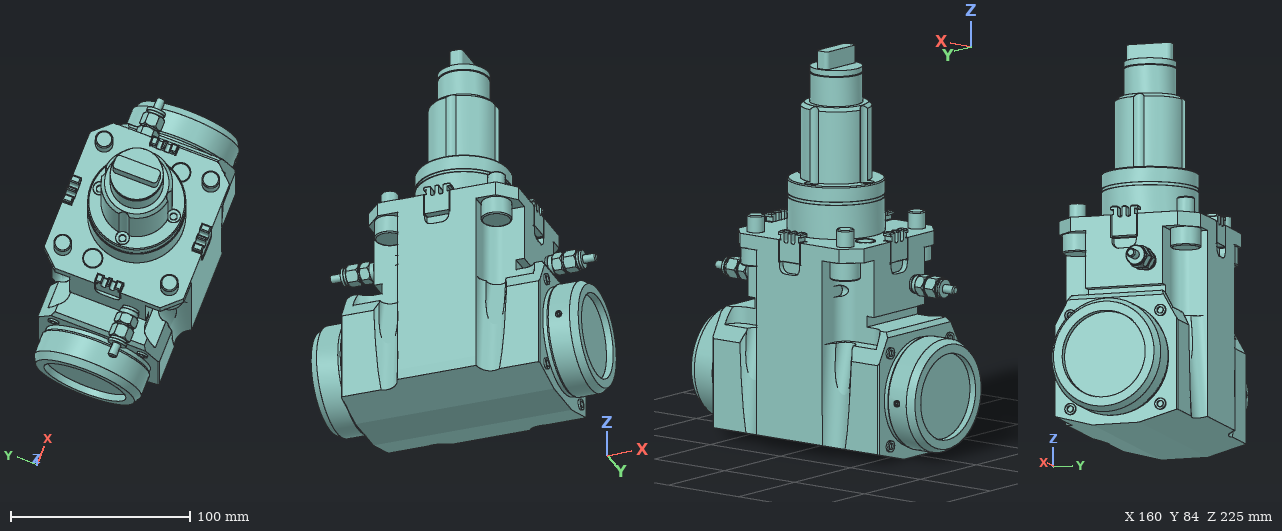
import cadquery as cq
import math

total_height = 225.0
width = 160.0
depth = 84.0
corners = [(1, 1), (1, -1), (-1, 1), (-1, -1)]

column_half_x = 45.0
column_half_y = 41.8
front_ledge_y = depth - column_half_y
plate_top = 121.3
plate_bottom = 113.2
plate_corner_x = 9.7
plate_corner_y = 10.4
neck_half_x = 40.0
neck_top = 80.5

rib_half_x = 23.5
rib_half_y = 22.7
notch_radius = 8.8
notch_end_x = 54.0
notch_floor = 65.0

block_half_x = 59.5
block_half_y = 36.5
block_top = 74.5
block_top_half_y = 26.8
block_shoulder = 57.2
block_end_chamfer_x = 2.2
block_end_chamfer_z = 2.7
block_edge_chamfer = 0.7
bottom_half_y = 13.7
bottom_slope_top = 7.6
ledge_top = 13.7
ledge_edge = 8.5

bolt_offset = 32.0
outer_groove_radius = bolt_offset - rib_half_x
outer_groove_y = 39.2
outer_groove_tilt = 5.0
inner_groove_radius = 5.8
inner_groove_tilt = 14.0

bolt_head_radius = 8.5
bolt_head_length = 10.5
bolt_radius = 5.0
bolt_top = 131.0
bolt_chamfer = 0.7

collar_radius = 27.5
collar_top = 151.2
collar_groove_z = 141.5
collar_groove_width = 1.8
collar_groove_depth = 0.5
collar_chamfer = 0.7
sleeve_radius = 20.0
sleeve_top = 194.5
sleeve_chamfer = 2.0
shaft_radius = 14.8
shaft_top = 214.9
shaft_groove_z = 211.0
shaft_groove_size = 0.5
tang_thickness = 8.0
tang_length = 26.5
tang_fillet = 2.2

spindle_screw_circle = 22.0
spindle_screw_radius = 3.8
spindle_screw_recess = 1.1
spindle_socket_radius = 2.0
spindle_socket_depth = 1.8

nozzle_y = 14.0
nozzle_z = 93.8
nozzle_corners = 12.8
nozzle_hex_chamfer = 1.0
nozzle_tip_radius = 2.5
nozzle_tip_chamfer = 0.7

seal_x = bolt_offset
seal_y = nozzle_y
seal_radius = 5.6
seal_groove_width = 0.5
seal_groove_depth = 0.5

ring_axis_z = 36.2
ring_radius = 32.2
ring_inner_x = 61.9
ring_outer_chamfer_x = 4.3
ring_outer_chamfer_r = 2.5
ring_inner_chamfer = 1.1
ring_neck_radius = 31.3
ring_recess_radius = 24.5
ring_recess_depth = 4.0
set_screw_x = 69.3
set_screw_radius = 1.8
set_screw_height = 0.7
set_screw_socket_radius = 1.0

face_screw_offset = 26.5
face_screw_radius = 3.2
face_screw_height = 1.1
face_screw_socket_radius = 1.8

drilling_radius = 3.2
side_slot_start_y = 23.8
side_slot_length = 2 * notch_radius

clip_half_width = 7.9
clip_gap = 0.7
clip_bottom = 108.5
clip_top = 126.2
clip_thickness_y = 5.8
clip_thickness_x = 5.0
clip_undercut = 1.5
clip_undercut_top = 124.2
clip_slot_x = 2.5
clip_slot_radius = 1.4
clip_slot_bottom = 120.0
clip_chamfer = 0.7
pocket_bottom = 102.2
pocket_half_width = 7.2
pocket_depth = 3.4
pocket_fillet = 4.3


def slab(half_x, half_y, bottom, top):
    """Box centred on the vertical axis between two heights."""
    height = top - bottom
    return cq.Workplane("XY").box(2 * half_x, 2 * half_y, height, centered=(True, True, False)) \
        .translate((0, 0, bottom))


def upright(radius, bottom, top, x=0, y=0):
    """Vertical cylinder between two heights."""
    return cq.Workplane("XY", origin=(x, y, bottom)).circle(radius).extrude(top - bottom)


def half_turn(shape):
    return shape.rotate((0, 0, 0), (0, 0, 1), 180)


def make_plate():
    corner_x = column_half_x - plate_corner_x
    corner_y = column_half_y - plate_corner_y
    outline = [
        (column_half_x, corner_y), (corner_x, column_half_y),
        (-corner_x, column_half_y), (-column_half_x, corner_y),
        (-column_half_x, -corner_y), (-corner_x, -column_half_y),
        (corner_x, -column_half_y), (column_half_x, -corner_y),
    ]
    return cq.Workplane("XY", origin=(0, 0, plate_bottom)).polyline(outline).close() \
        .extrude(plate_top - plate_bottom)


def underside_height(y):
    """Height of the sloped underside at a distance from the middle plane."""
    return bottom_slope_top * (y - bottom_half_y) / (column_half_y - bottom_half_y)


def make_block():
    """Lower block, with its hipped top and sloped underside, extruded along X."""
    side_bottom = underside_height(block_half_y)
    right_side = [
        (bottom_half_y, 0), (block_half_y, side_bottom),
        (block_half_y, block_shoulder), (block_top_half_y, block_top),
    ]
    left_side = [(-y, z) for y, z in reversed(right_side)]
    block = cq.Workplane("YZ").polyline(right_side + left_side).close() \
        .extrude(block_half_x, both=True)
    block = block.edges("|Z").chamfer(block_edge_chamfer)
    corner_x = block_half_x - block_end_chamfer_x
    for side in (1, -1):
        end_chamfer = cq.Workplane("XZ").polyline([
            (side * corner_x, block_top),
            (side * block_half_x, block_top),
            (side * block_half_x, block_top - block_end_chamfer_z),
        ]).close().extrude(depth, both=True)
        block = block.cut(end_chamfer)
    return block


def make_rib(half_x, top):
    """Central rib reaching the full depth, with a ledge along the foot of its front."""
    profile = [
        (bottom_half_y, 0), (column_half_y, bottom_slope_top), (column_half_y, top),
        (-column_half_y, top), (-column_half_y, ledge_top), (-front_ledge_y, ledge_edge),
        (-front_ledge_y, underside_height(front_ledge_y)), (-bottom_half_y, 0),
    ]
    return cq.Workplane("YZ").polyline(profile).close().extrude(half_x, both=True)


def notch(sign_x, sign_y):
    """Upright pocket at one corner, rounded at its two inner corners."""
    reach = depth / 2
    tool = slab((notch_end_x - rib_half_x) / 2, reach / 2, notch_floor, plate_bottom) \
        .translate((sign_x * (notch_end_x + rib_half_x) / 2, sign_y * (rib_half_y + reach / 2), 0))
    inner_edges = "|Z and <Y" if sign_y > 0 else "|Z and >Y"
    return tool.edges(inner_edges).fillet(notch_radius)


def access_groove(radius, start_y, tilt, sign_x, sign_y):
    """Round-bottomed groove below a notch, open outward and leaning outward as it goes down."""
    lean = math.radians(tilt)
    axis = cq.Vector(0, sign_y * math.sin(lean), -math.cos(lean))
    start = cq.Vector(sign_x * bolt_offset, sign_y * start_y, notch_floor)
    lead_in = radius
    across = cq.Plane(origin=start - axis * lead_in, xDir=(1, 0, 0), normal=axis)
    outward = -sign_y
    opening = outward * depth / 2
    groove = cq.Workplane(across).moveTo(-radius, 0) \
        .threePointArc((0, -outward * radius), (radius, 0)) \
        .lineTo(radius, opening).lineTo(-radius, opening).close() \
        .extrude(2 * notch_floor)
    return groove.intersect(slab(width, width, -notch_floor, notch_floor))


def make_housing():
    body = slab(column_half_x, column_half_y, notch_floor, plate_bottom)
    neck_height = neck_top - block_top
    for side in (1, -1):
        side_groove = cq.Workplane("XY").box(
            column_half_x - neck_half_x, depth, neck_height, centered=(True, True, False))
        body = body.cut(side_groove.translate(
            (side * (column_half_x + neck_half_x) / 2, 0, block_top)))
    body = body.union(make_block())
    for sign_x, sign_y in corners:
        body = body.cut(notch(sign_x, sign_y))
    body = body.union(make_rib(rib_half_x, plate_bottom))
    body = body.union(make_rib(bolt_offset, notch_floor))
    for sign_x, sign_y in corners:
        body = body.cut(access_groove(
            outer_groove_radius, outer_groove_y, outer_groove_tilt, sign_x, sign_y))
        body = body.cut(access_groove(
            inner_groove_radius, bolt_offset, inner_groove_tilt, sign_x, sign_y))
    return body.union(make_plate())


def cut_drillings(body):
    """Round-ended slot in the back left notch and a shallow drilling in the front left one."""
    notch_axis_x = rib_half_x + notch_radius
    slot_middle_y = side_slot_start_y + side_slot_length / 2
    side_slot = cq.Workplane("YZ", origin=(-rib_half_x, slot_middle_y, nozzle_z)) \
        .slot2D(side_slot_length, 2 * drilling_radius).extrude(-notch_radius)
    front_hole = cq.Workplane("XZ", origin=(-notch_axis_x, -rib_half_y, nozzle_z)) \
        .circle(drilling_radius).extrude(notch_radius)
    return body.cut(side_slot).cut(front_hole)


def make_bolt(x, y):
    head = upright(bolt_head_radius, plate_bottom - bolt_head_length, plate_bottom, x, y) \
        .faces("<Z").chamfer(bolt_chamfer)
    shank = upright(bolt_radius, plate_bottom, bolt_top, x, y).faces(">Z").chamfer(bolt_chamfer)
    return head.union(shank)


def seal_groove(x, y):
    bottom = plate_top - seal_groove_depth
    outer = upright(seal_radius, bottom, plate_top, x, y)
    return outer.cut(upright(seal_radius - seal_groove_width, bottom, plate_top, x, y))


def clip_outline_cuts(thickness):
    """Tools that shape the prongs of a clip standing in the XZ plane."""
    tools = []
    for side in (1, -1):
        undercut = slab(clip_undercut, thickness, plate_top, clip_undercut_top)
        tools.append(undercut.translate((side * clip_half_width, 0, 0)))
        slot_axis = clip_slot_bottom + clip_slot_radius
        slot = slab(clip_slot_radius, thickness, slot_axis, clip_top) \
            .union(cq.Workplane("XZ", origin=(0, 0, slot_axis))
                   .circle(clip_slot_radius).extrude(thickness, both=True))
        tools.append(slot.translate((side * clip_slot_x, 0, 0)))
    return tools


def fit_clip(body, face_distance, thickness, angle):
    """Cut a clip seat into the face turned by the given angle from -Y, and set the clip in it."""
    middle = (0, thickness / 2 - face_distance, 0)
    seat = slab(clip_half_width, thickness / 2, clip_bottom, plate_top).translate(middle)
    recess = slab(pocket_half_width, pocket_depth, pocket_bottom, clip_bottom + clip_gap) \
        .edges("|Y and <Z").fillet(pocket_fillet).translate((0, -face_distance, 0))
    lower = slab(clip_half_width - clip_gap, thickness / 2, clip_bottom + clip_gap, plate_top)
    upper = slab(clip_half_width, thickness / 2, plate_top, clip_top)
    clip = lower.union(upper)
    for tool in clip_outline_cuts(thickness):
        clip = clip.cut(tool)
    clip = clip.faces(">Z").chamfer(clip_chamfer).translate(middle)

    def turned(shape):
        return shape.rotate((0, 0, 0), (0, 0, 1), angle)

    return body.cut(turned(seat)).cut(turned(recess)).union(turned(clip))


def groove_ring(radius, groove_depth, bottom, height):
    outer = upright(radius + groove_depth, bottom, bottom + height)
    return outer.cut(upright(radius - groove_depth, bottom, bottom + height))


def make_spindle():
    collar = upright(collar_radius, plate_top, collar_top).faces(">Z").chamfer(collar_chamfer)
    collar = collar.cut(groove_ring(
        collar_radius, collar_groove_depth, collar_groove_z - collar_groove_width / 2,
        collar_groove_width))
    sleeve = upright(sleeve_radius, collar_top, sleeve_top).faces(">Z").chamfer(sleeve_chamfer)
    shaft = upright(shaft_radius, sleeve_top, shaft_top)
    shaft = shaft.cut(groove_ring(
        shaft_radius, shaft_groove_size, shaft_groove_z, shaft_groove_size))
    tang = slab(tang_thickness / 2, tang_length / 2, shaft_top, total_height) \
        .edges("|Z").fillet(tang_fillet)
    spindle = collar.union(sleeve).union(shaft).union(tang)
    screw_seat = collar_top - spindle_screw_recess
    for quarter in range(4):
        screw_hole = upright(spindle_screw_radius, screw_seat, sleeve_top, spindle_screw_circle) \
            .union(upright(spindle_socket_radius, screw_seat - spindle_socket_depth, screw_seat,
                           spindle_screw_circle))
        spindle = spindle.cut(screw_hole.rotate((0, 0, 0), (0, 0, 1), 90 * quarter))
    return spindle


def make_ring():
    """Bearing ring on the +X end, turned about the lower axis, with its screws."""
    end_x = width / 2
    profile = [
        (block_half_x, 0), (block_half_x, ring_neck_radius), (ring_inner_x, ring_neck_radius),
        (ring_inner_x + ring_inner_chamfer, ring_radius),
        (end_x - ring_outer_chamfer_x, ring_radius),
        (end_x, ring_radius - ring_outer_chamfer_r), (end_x, ring_recess_radius),
        (end_x - ring_recess_depth, ring_recess_radius), (end_x - ring_recess_depth, 0),
    ]
    ring = cq.Workplane("XZ").polyline(profile).close().revolve(360, (0, 0, 0), (1, 0, 0))
    set_screw = cq.Workplane("XZ").center(set_screw_x, 0).circle(set_screw_radius) \
        .circle(set_screw_socket_radius).extrude(ring_radius + set_screw_height)
    ring = ring.union(set_screw)
    for sign_y, sign_z in corners:
        screw = cq.Workplane("YZ", origin=(block_half_x, 0, 0)) \
            .center(sign_y * face_screw_offset, sign_z * face_screw_offset) \
            .circle(face_screw_radius).circle(face_screw_socket_radius).extrude(face_screw_height)
        ring = ring.union(screw)
    return ring.translate((0, 0, ring_axis_z))


def make_nozzle():
    """Coolant nozzle on the +X side: a stack of round and hexagonal sections."""
    round_sections = [
        (0, 1.5, 5.0), (1.5, 4.3, 5.5), (10.1, 11.0, 5.2), (18.5, 20.0, 4.7), (20.0, 21.5, 5.5),
    ]
    hexagon_sections = [(4.3, 10.1), (11.0, 18.5)]
    tip_start = 21.5
    tip_end = 29.2

    def section_plane(start):
        return cq.Workplane("YZ", origin=(column_half_x + start, nozzle_y, nozzle_z))

    nozzle = section_plane(tip_start).circle(nozzle_tip_radius).extrude(tip_end - tip_start) \
        .faces(">X").chamfer(nozzle_tip_chamfer)
    for start, end, radius in round_sections:
        nozzle = nozzle.union(section_plane(start).circle(radius).extrude(end - start))
    for start, end in hexagon_sections:
        hexagon = section_plane(start).polygon(6, nozzle_corners).extrude(end - start)
        chamfered_bar = section_plane(start).circle(nozzle_corners / 2).extrude(end - start) \
            .faces("<X or >X").chamfer(nozzle_hex_chamfer)
        nozzle = nozzle.union(hexagon.intersect(chamfered_bar))
    return nozzle


result = cut_drillings(make_housing())
result = result.union(make_spindle())

for sign_x, sign_y in corners:
    result = result.union(make_bolt(sign_x * bolt_offset, sign_y * bolt_offset))

for side in (1, -1):
    result = result.cut(seal_groove(side * seal_x, -side * seal_y))

for angle in (0, 180):
    result = fit_clip(result, column_half_y, clip_thickness_y, angle)
    result = fit_clip(result, column_half_x, clip_thickness_x, angle + 90)

for end_part in (make_ring(), make_nozzle()):
    result = result.union(end_part).union(half_turn(end_part))